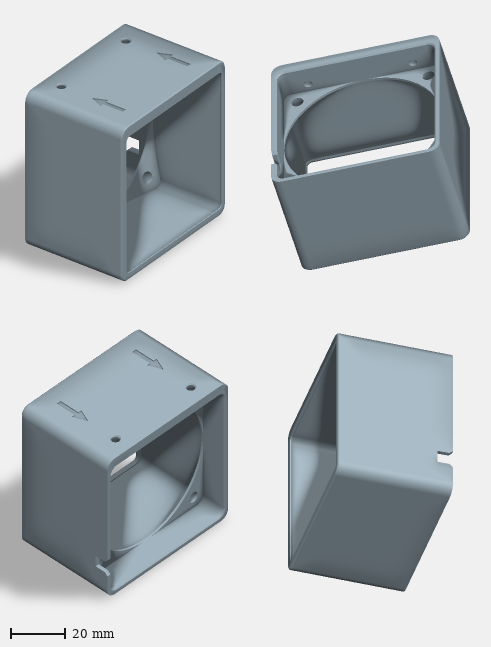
import cadquery as cq

length = 44.4
width = 64.2
height = 66.7
outer_radius = 4.0
outer_end_chamfer = 0.5

wall = 2.1
bore_side = width - 2 * wall
bore_centre_z = wall + bore_side / 2
bore_top = wall + bore_side
bore_radius = 3.1
mouth_chamfer = 0.5

plate_front = 10.95
plate_thickness = 0.95
plate_back = plate_front + plate_thickness
fan_opening_diameter = 60.2
fan_screw_diameter = 4.6
fan_screw_spacing = 50.0

rear_side = 60.95
rear_radius = 2.7
funnel_diameter = 84.05
funnel_depth = 4.0
funnel_end = plate_back + funnel_depth

lip_chamfer = 0.9
lip_land = 0.5
lip_back = length - lip_land
lip_front = lip_back - lip_chamfer
outlet_side = 59.0
outlet_radius = rear_radius - lip_chamfer
outlet_shift = 0.4

notch_bottom = 12.4
notch_top = 17.6
notch_depth = 6.0
notch_flare = 1.35

mount_x = 7.55
mount_spacing = 40.0
mount_diameter = 3.2
mount_chamfer = 0.5

arrow_tip_x = 21.5
arrow_head_length = 6.1
arrow_shaft_length = 9.1
arrow_head_half_width = 2.55
arrow_shaft_half_width = 1.0
arrow_depth = 0.5


def square_prism(side, corner_radius, x_start, x_end, shift=0):
    """Rounded square prism along X, shifted from the bore axis equally in +Y and +Z."""
    return (
        cq.Workplane("YZ", origin=(x_start, shift, bore_centre_z + shift))
        .rect(side, side)
        .extrude(x_end - x_start)
        .edges("|X")
        .fillet(corner_radius)
    )


def outer_body():
    block = (
        cq.Workplane("YZ", origin=(0, 0, height / 2))
        .rect(width, height)
        .extrude(length)
        .edges("|X")
        .fillet(outer_radius)
    )
    return block.faces(">X").chamfer(outer_end_chamfer)


def funnel():
    """Cone opening out of the fan opening, so that the plate thickens into the chamber corners."""
    cone = cq.Solid.makeCone(
        fan_opening_diameter / 2,
        funnel_diameter / 2,
        funnel_depth,
        cq.Vector(plate_back, 0, bore_centre_z),
        cq.Vector(1, 0, 0),
    )
    section = square_prism(rear_side, rear_radius, plate_back, funnel_end)
    return section.intersect(cq.Workplane(cone))


def outlet():
    """Straight outlet and its chamfer, which is kept within the section of the rear chamber."""
    straight = square_prism(outlet_side, outlet_radius, lip_front, length, outlet_shift)
    flare_side = outlet_side + 2 * lip_chamfer
    flare_radius = outlet_radius + lip_chamfer
    flare = (
        square_prism(flare_side, flare_radius, funnel_end, lip_back, outlet_shift)
        .faces(">X")
        .chamfer(lip_chamfer)
        .intersect(square_prism(rear_side, rear_radius, lip_front, lip_back))
    )
    return straight.union(flare)


def hollow():
    """Fan bore, rear chamber and outlet, leaving the fan plate between the first two."""
    front = square_prism(bore_side, bore_radius, 0, plate_front)
    rear = square_prism(rear_side, rear_radius, funnel_end, lip_front)
    return front.union(rear).union(funnel()).union(outlet())


def fan_opening():
    return (
        cq.Workplane("YZ", origin=(plate_front, 0, bore_centre_z))
        .circle(fan_opening_diameter / 2)
        .extrude(plate_thickness)
    )


def fan_screw_holes():
    return (
        cq.Workplane("YZ", origin=(plate_front, 0, bore_centre_z))
        .rect(fan_screw_spacing, fan_screw_spacing, forConstruction=True)
        .vertices()
        .circle(fan_screw_diameter / 2)
        .extrude(plate_thickness + funnel_depth)
    )


def cable_notch():
    """Slot through the +Y wall, flared where it meets the -X end."""
    return (
        cq.Workplane("XZ", origin=(0, width / 2, 0))
        .moveTo(0, notch_bottom - notch_flare)
        .lineTo(notch_flare, notch_bottom)
        .lineTo(notch_depth, notch_bottom)
        .lineTo(notch_depth, notch_top)
        .lineTo(notch_flare, notch_top)
        .lineTo(0, notch_top + notch_flare)
        .close()
        .extrude(wall)
    )


def chamfer_mouth(body):
    """Chamfer the inner edge of the -X end, following it along both sides of the notch."""
    margin = 0.1
    reach = bore_side / 2 + margin
    mouth_edges = cq.selectors.BoxSelector(
        (-margin, -reach, bore_centre_z - reach), (margin, reach, bore_centre_z + reach)
    )
    notch_edges = cq.selectors.BoxSelector(
        (margin, bore_side / 2 - margin, notch_bottom - notch_flare),
        (notch_depth - margin, reach, notch_top + notch_flare),
    )
    return body.edges(mouth_edges + notch_edges).chamfer(mouth_chamfer)


def mounting_hole(y):
    straight = (
        cq.Workplane("XY", origin=(mount_x, y, height))
        .circle(mount_diameter / 2)
        .extrude(bore_top - height)
    )
    countersink = cq.Solid.makeCone(
        mount_diameter / 2,
        mount_diameter / 2 + mount_chamfer,
        mount_chamfer,
        cq.Vector(mount_x, y, height - mount_chamfer),
    )
    return straight.union(cq.Workplane(countersink))


def arrow(y):
    head_end = arrow_tip_x + arrow_head_length
    tail_end = head_end + arrow_shaft_length
    return (
        cq.Workplane("XY", origin=(0, y, height))
        .moveTo(arrow_tip_x, 0)
        .lineTo(head_end, arrow_head_half_width)
        .lineTo(head_end, arrow_shaft_half_width)
        .lineTo(tail_end, arrow_shaft_half_width)
        .lineTo(tail_end, -arrow_shaft_half_width)
        .lineTo(head_end, -arrow_shaft_half_width)
        .lineTo(head_end, -arrow_head_half_width)
        .close()
        .extrude(-arrow_depth)
    )


result = outer_body().cut(hollow()).cut(cable_notch())
result = chamfer_mouth(result).cut(fan_opening()).cut(fan_screw_holes())
for side in (-1, 1):
    row_y = side * mount_spacing / 2
    result = result.cut(mounting_hole(row_y)).cut(arrow(row_y))